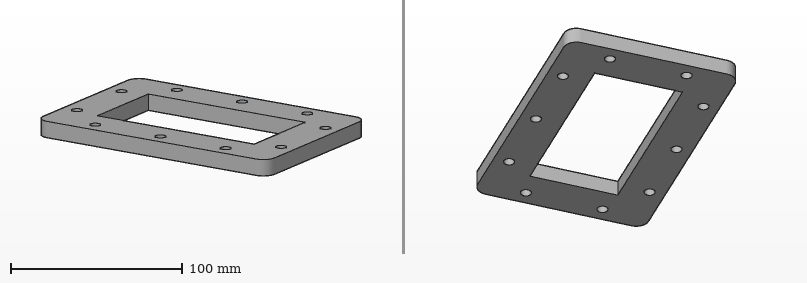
import cadquery as cq

plate_length = 161.1
plate_width = 106.4
plate_thickness = 10.0
corner_radius = 7.9

opening_length = 109.22
opening_width = opening_length / 2

hole_diameter = 6.4
long_side_hole_spacing = 45.4
long_side_hole_offset = 43.7
short_side_hole_spacing = 47.6
short_side_hole_offset = 71.0


def make_plate():
    """Plate with rounded vertical corners, its base on Z = 0."""
    plate = cq.Workplane("XY").box(
        plate_length, plate_width, plate_thickness, centered=(True, True, False)
    )
    return plate.edges("|Z").fillet(corner_radius)


def cut_opening(body):
    """Sharp-cornered rectangular opening through the plate."""
    return body.faces(">Z").workplane().rect(opening_length, opening_width).cutThruAll()


def bolt_hole_centres():
    """Three holes along each long side and two along each short side."""
    centres = []
    for side in (-1, 1):
        for step in (-1, 0, 1):
            centres.append((step * long_side_hole_spacing, side * long_side_hole_offset))
        for end in (-1, 1):
            centres.append((side * short_side_hole_offset, end * short_side_hole_spacing / 2))
    return centres


def drill_bolt_holes(body):
    """Plain through holes around the opening."""
    drills = (
        cq.Workplane("XY")
        .pushPoints(bolt_hole_centres())
        .circle(hole_diameter / 2)
        .extrude(plate_thickness)
    )
    return body.cut(drills)


result = drill_bolt_holes(cut_opening(make_plate()))